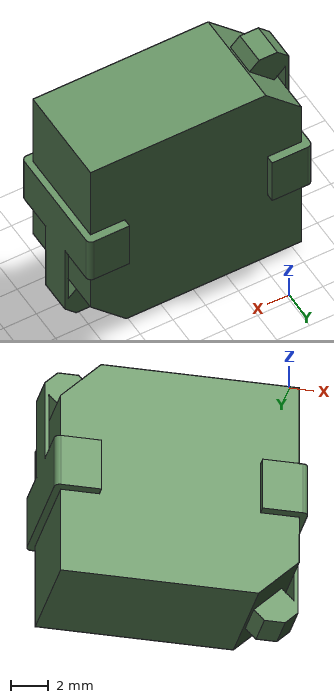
import cadquery as cq

overall_size = 13.7
overall_depth = 7.0

body_depth = 6.0
body_gap = 0.4
body_size = overall_size - 2 * body_gap
corner_cut = 2.19

clip_height = 3.0
clip_length = 2.5
clip_corner_radius = 0.3

strip_width = 2.0
strip_thickness = 0.22
hook_chamfer = 0.7
hook_top_length = 1.12
hook_underside_drop = 1.41

half = overall_size / 2


def make_body():
    block = cq.Workplane("XY").box(body_size, body_depth, body_size)
    return block.edges("(<X and >Z) or (>X and <Z)").chamfer(corner_cut)


def make_clip():
    """Solid clip on the -X side; its inside is shared with the block."""
    return (
        cq.Workplane("XY")
        .box(clip_length, overall_depth, clip_height)
        .edges("|Z and <X")
        .fillet(clip_corner_radius)
        .translate((-half + clip_length / 2, 0, 0))
    )


def make_hook():
    """Strip rising from the -X clip, with its hook against the cut corner."""
    hook_end = hook_chamfer + hook_top_length
    cut_face_sum = 2 * body_gap + corner_cut
    outer_run = (cut_face_sum - hook_end) / 2
    inner_run = (cut_face_sum - strip_thickness - hook_underside_drop) / 2

    outline = [
        (0, half),
        (0, hook_chamfer),
        (hook_chamfer, 0),
        (hook_end, 0),
        (hook_end + outer_run, outer_run),
        (strip_thickness + inner_run, hook_underside_drop + inner_run),
        (strip_thickness, hook_underside_drop),
        (strip_thickness, half),
    ]
    return (
        cq.Workplane("XZ")
        .polyline([(across - half, half - down) for across, down in outline])
        .close()
        .extrude(strip_width / 2, both=True)
    )


terminal = make_clip().union(make_hook())
opposite_terminal = terminal.rotate((0, 0, 0), (0, 1, 0), 180)
result = make_body().union(terminal).union(opposite_terminal)